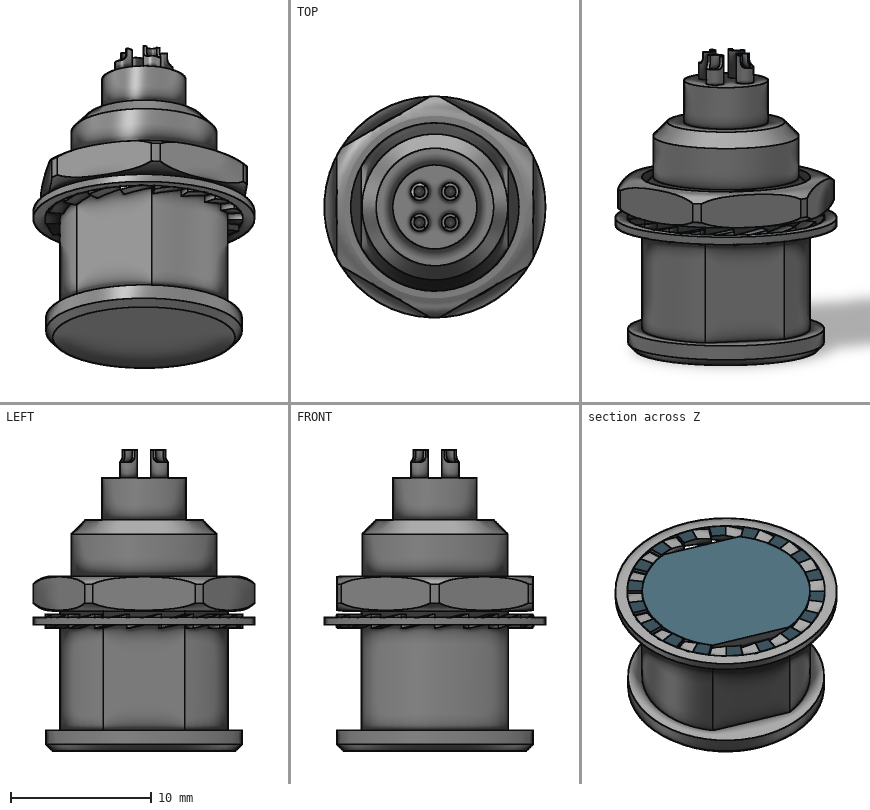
import cadquery as cq
import math

TOTAL_HEIGHT = 21.5

FLANGE_DIAMETER = 14.0
FLANGE_HEIGHT = 1.5
FLANGE_CHAMFER = 0.5
BARREL_DIAMETER = 12.0
BARREL_ACROSS_FLATS = 10.5
NECK_DIAMETER = 10.4
NECK_BASE_Z = 12.5
NECK_TOP_Z = 16.5
NECK_CHAMFER = 1.0
INSERT_DIAMETER = 6.0
INSERT_TOP_Z = 19.5
BARREL_TAPER = (BARREL_DIAMETER - NECK_DIAMETER) / 2

CONTACT_COUNT = 4
CONTACT_DIAMETER = 1.25
CONTACT_BORE_DIAMETER = 0.77
CONTACT_OFFSET = 1.1
CUP_FLOOR_Z = 20.6
CUP_FILLET = 0.5

NUT_SIDES = 6
NUT_ACROSS_FLATS = 14.0
NUT_CORNER_DIAMETER = 15.8
NUT_FACE_DIAMETER = 13.0
NUT_BASE_Z = 10.0
NUT_HEIGHT = 2.5
NUT_EDGE_RADIUS = 2.0

WASHER_DIAMETER = 15.8
WASHER_BASE_Z = 9.0
WASHER_THICKNESS = 0.54
TOOTH_COUNT = 18
TOOTH_CIRCLE_DIAMETER = 14.1
TOOTH_OVERHANG = 0.24


def cylinder(diameter, base_z, top_z):
    return cq.Workplane("XY").workplane(offset=base_z).circle(diameter / 2).extrude(top_z - base_z)


def make_flange():
    return cylinder(FLANGE_DIAMETER, 0, FLANGE_HEIGHT).faces("<Z").chamfer(FLANGE_CHAMFER)


def make_barrel():
    """Barrel with a conical top edge and two flats facing -X and +X."""
    barrel = cylinder(BARREL_DIAMETER, 0, NECK_BASE_Z).faces(">Z").chamfer(BARREL_TAPER)
    flat_stock = cq.Workplane("XY").rect(BARREL_ACROSS_FLATS, BARREL_DIAMETER).extrude(NECK_BASE_Z)
    return barrel.intersect(flat_stock)


def make_contact():
    """Contact at the +X side of the centre, with its cup opening toward +X."""
    radius = CONTACT_DIAMETER / 2
    contact = cylinder(CONTACT_DIAMETER, INSERT_TOP_Z, TOTAL_HEIGHT)
    contact = contact.cut(cylinder(CONTACT_BORE_DIAMETER, INSERT_TOP_Z, TOTAL_HEIGHT))
    opening = (
        cq.Workplane("XY")
        .workplane(offset=CUP_FLOOR_Z)
        .center(radius, 0)
        .rect(CONTACT_DIAMETER, 2 * CONTACT_DIAMETER)
        .extrude(TOTAL_HEIGHT - CUP_FLOOR_Z)
        .edges("<X and <Z")
        .fillet(CUP_FILLET)
    )
    return contact.cut(opening).translate((CONTACT_OFFSET * math.sqrt(2), 0, 0))


def make_housing():
    neck = cylinder(NECK_DIAMETER, 0, NECK_TOP_Z).faces(">Z").chamfer(NECK_CHAMFER)
    insert = cylinder(INSERT_DIAMETER, 0, INSERT_TOP_Z)
    housing = make_flange().union(make_barrel()).union(neck).union(insert)
    contact = make_contact()
    pitch = 360 / CONTACT_COUNT
    for index in range(CONTACT_COUNT):
        housing = housing.union(contact.rotate((0, 0, 0), (0, 0, 1), (index + 0.5) * pitch))
    return housing


def make_nut():
    """Hexagon with corners toward -Y and +Y, trimmed by a disc with rounded rims."""
    corner_radius = NUT_CORNER_DIAMETER / 2
    face_radius = NUT_FACE_DIAMETER / 2

    def rim_drop(reach):
        return NUT_EDGE_RADIUS - math.sqrt(NUT_EDGE_RADIUS**2 - reach**2)

    rim_reach = corner_radius - face_radius
    rim_middle = face_radius + rim_reach / 2
    end_drop = rim_drop(rim_reach)
    middle_drop = rim_drop(rim_reach / 2)
    top_z = NUT_BASE_Z + NUT_HEIGHT
    disc = (
        cq.Workplane("XZ")
        .moveTo(0, NUT_BASE_Z)
        .lineTo(face_radius, NUT_BASE_Z)
        .threePointArc((rim_middle, NUT_BASE_Z + middle_drop), (corner_radius, NUT_BASE_Z + end_drop))
        .lineTo(corner_radius, top_z - end_drop)
        .threePointArc((rim_middle, top_z - middle_drop), (face_radius, top_z))
        .lineTo(0, top_z)
        .close()
        .revolve(360, (0, 0, 0), (0, 1, 0))
    )
    hexagon = (
        cq.Workplane("XY")
        .workplane(offset=NUT_BASE_Z)
        .polygon(NUT_SIDES, NUT_ACROSS_FLATS, circumscribed=True)
        .extrude(NUT_HEIGHT)
    )
    return hexagon.intersect(disc).cut(cylinder(BARREL_DIAMETER, NUT_BASE_Z, top_z))


def make_tooth_blank():
    """Twisted slab toward -Y that rises toward +X, bounded by two radial planes."""
    half_angle = math.radians(180 / TOOTH_COUNT)
    low_z = WASHER_BASE_Z - TOOTH_OVERHANG
    high_z = WASHER_BASE_Z + TOOTH_OVERHANG

    def section(distance):
        half_width = distance * math.tan(half_angle)
        corners = [
            (-half_width, low_z),
            (half_width, high_z),
            (half_width, high_z + WASHER_THICKNESS),
            (-half_width, low_z + WASHER_THICKNESS),
        ]
        return cq.Wire.makePolygon([cq.Vector(x, -distance, z) for x, z in corners], close=True)

    inner_section = section(BARREL_DIAMETER / 2 * math.cos(half_angle))
    outer_section = section(TOOTH_CIRCLE_DIAMETER / 2)
    return cq.Workplane(obj=cq.Solid.makeLoft([inner_section, outer_section], True))


def make_washer():
    low_z = WASHER_BASE_Z - TOOTH_OVERHANG
    ring_top_z = WASHER_BASE_Z + WASHER_THICKNESS
    high_z = ring_top_z + TOOTH_OVERHANG
    bore = cylinder(BARREL_DIAMETER, low_z, high_z)
    tooth_zone = cylinder(TOOTH_CIRCLE_DIAMETER, low_z, high_z).cut(bore)
    tooth = make_tooth_blank().intersect(tooth_zone)
    washer = cylinder(WASHER_DIAMETER, WASHER_BASE_Z, ring_top_z)
    washer = washer.cut(cylinder(TOOTH_CIRCLE_DIAMETER, WASHER_BASE_Z, ring_top_z))
    pitch = 360 / TOOTH_COUNT
    for index in range(TOOTH_COUNT):
        washer = washer.union(tooth.rotate((0, 0, 0), (0, 0, 1), (index + 0.5) * pitch))
    return washer


housing = make_housing()
nut = make_nut()
washer = make_washer()

result = cq.Compound.makeCompound([body.solids().val() for body in (housing, nut, washer)])